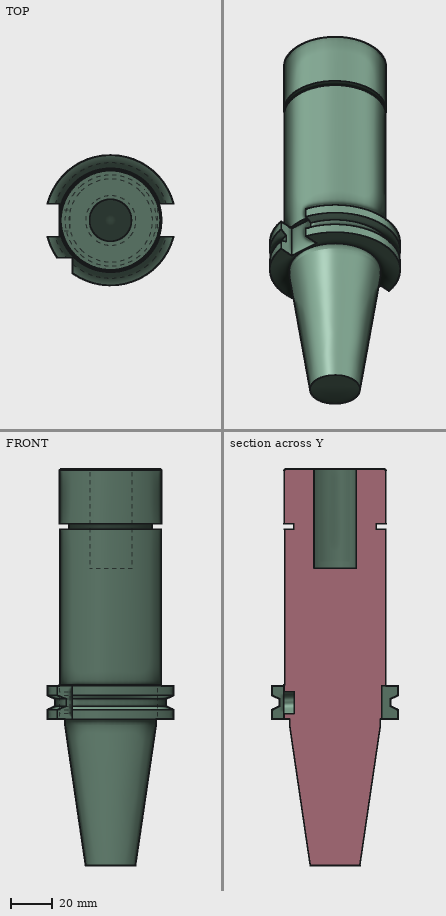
import cadquery as cq

TOTAL_HEIGHT = 193.4
TAPER_TOP = 68.5
FLANGE_BOTTOM = 71.4
FLANGE_TOP = 87.6
NECK_BOTTOM = 164.0
NECK_TOP = 166.5

TAPER_END_RADIUS = 12.2
TAPER_RADIUS = 22.2
FLANGE_DIAMETER = 63.6
FLANGE_RADIUS = FLANGE_DIAMETER / 2
BODY_RADIUS = 24.8
NECK_RADIUS = 20.3
NUT_RADIUS = 25.0
EDGE_CHAMFER = 0.8

STEP_RADIUS = 25.3
STEP_HEIGHT = 0.48

GROOVE_CENTER = 79.5
GROOVE_RADIUS = 28.2
GROOVE_FLOOR_WIDTH = 3.5
GROOVE_MOUTH_WIDTH = 7.0

KEYWAY_WIDTH = 16.0
LEFT_KEYWAY_FLOOR = 25.0
RIGHT_KEYWAY_FLOOR = 22.8
NOTCH_X = -18.5
NOTCH_Y = -18.4

BORE_DIAMETER = 20.5
BORE_DEPTH = 48.4
SIDE_HOLE_DIAMETER = 10.5
SIDE_HOLE_DEPTH = 5.0


def revolve_profile(points):
    """Revolve a closed (radius, height) outline around the Z axis."""
    return cq.Workplane("XZ").polyline(points).close().revolve(360, (0, 0), (0, 1))


def make_shank():
    """Taper, plain collar, body, neck and clamping nut."""
    return revolve_profile([
        (0, 0),
        (TAPER_END_RADIUS, 0),
        (TAPER_RADIUS, TAPER_TOP),
        (TAPER_RADIUS, FLANGE_TOP),
        (BODY_RADIUS, FLANGE_TOP),
        (BODY_RADIUS, NECK_BOTTOM),
        (NECK_RADIUS, NECK_BOTTOM),
        (NECK_RADIUS, NECK_TOP),
        (NUT_RADIUS, NECK_TOP),
        (NUT_RADIUS, TOTAL_HEIGHT - EDGE_CHAMFER),
        (NUT_RADIUS - EDGE_CHAMFER, TOTAL_HEIGHT),
        (0, TOTAL_HEIGHT),
    ])


def make_flange():
    """Flange disc with its raised step, V groove, two keyways and corner notch."""
    step_top = FLANGE_TOP + STEP_HEIGHT
    half_mouth = GROOVE_MOUTH_WIDTH / 2
    half_floor = GROOVE_FLOOR_WIDTH / 2
    flange = revolve_profile([
        (0, FLANGE_BOTTOM),
        (FLANGE_RADIUS, FLANGE_BOTTOM),
        (FLANGE_RADIUS, GROOVE_CENTER - half_mouth),
        (GROOVE_RADIUS, GROOVE_CENTER - half_floor),
        (GROOVE_RADIUS, GROOVE_CENTER + half_floor),
        (FLANGE_RADIUS, GROOVE_CENTER + half_mouth),
        (FLANGE_RADIUS, FLANGE_TOP),
        (STEP_RADIUS, FLANGE_TOP),
        (STEP_RADIUS, step_top),
        (0, step_top),
    ])
    height = step_top - FLANGE_BOTTOM
    base = cq.Workplane("XY", origin=(0, 0, FLANGE_BOTTOM))
    for side, floor in ((-1, LEFT_KEYWAY_FLOOR), (1, RIGHT_KEYWAY_FLOOR)):
        keyway_center = side * (floor + FLANGE_RADIUS / 2)
        keyway = base.center(keyway_center, 0).rect(FLANGE_RADIUS, KEYWAY_WIDTH).extrude(height)
        flange = flange.cut(keyway)
    notch = (
        base.moveTo(NOTCH_X, NOTCH_Y)
        .rect(-FLANGE_RADIUS, -FLANGE_RADIUS, centered=False)
        .extrude(height)
    )
    return flange.cut(notch)


def make_bore():
    """Blind bore in the nose face."""
    return (
        cq.Workplane("XY", origin=(0, 0, TOTAL_HEIGHT - BORE_DEPTH))
        .circle(BORE_DIAMETER / 2)
        .extrude(BORE_DEPTH)
    )


def make_side_hole():
    """Blind hole in the floor of the -X keyway."""
    return (
        cq.Workplane("YZ", origin=(-LEFT_KEYWAY_FLOOR, 0, GROOVE_CENTER))
        .circle(SIDE_HOLE_DIAMETER / 2)
        .extrude(SIDE_HOLE_DEPTH)
    )


result = make_shank().union(make_flange()).cut(make_bore()).cut(make_side_hole())